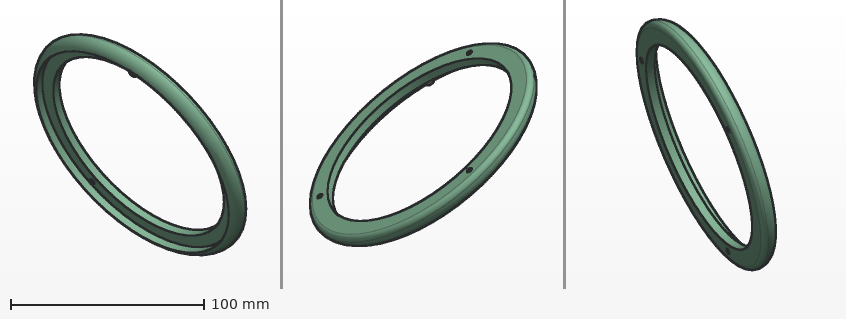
import cadquery as cq
import math

outer_radius = 70.0
bore_radius = 115.0 / 2
recess_radius = 65.0
thickness = 10.0
back_round = 3.0
floor_thickness = 5.0

hole_diameter = 3.0
hole_circle_radius = 62.4
hole_angles = (0, 120, 240)

peg_diameter = 5.0
peg_center_height = 65.1

back_y = thickness / 2
front_y = -back_y
widest_y = back_y - back_round
floor_y = back_y - floor_thickness

lip_inset = outer_radius - recess_radius
front_depth = widest_y - front_y
front_round = (front_depth**2 + lip_inset**2) / (2 * lip_inset)
half_sweep = math.asin(front_depth / front_round) / 2
front_arc_middle = (
    outer_radius - front_round * (1 - math.cos(half_sweep)),
    widest_y - front_round * math.sin(half_sweep),
)
back_arc_middle = (
    outer_radius - back_round * (1 - math.cos(math.pi / 4)),
    widest_y + back_round * math.sin(math.pi / 4),
)


def ring_body():
    """Revolve the section: flat web with a rounded outer rim."""
    return (
        cq.Workplane("XY")
        .moveTo(bore_radius, back_y)
        .lineTo(bore_radius, floor_y)
        .lineTo(recess_radius, floor_y)
        .lineTo(recess_radius, front_y)
        .threePointArc(front_arc_middle, (outer_radius, widest_y))
        .threePointArc(back_arc_middle, (outer_radius - back_round, back_y))
        .close()
        .revolve(360, (0, 0, 0), (0, 1, 0))
    )


def web_holes():
    """Cylinders for the equally spaced holes through the web."""
    centers = [
        (
            hole_circle_radius * math.cos(math.radians(angle)),
            hole_circle_radius * math.sin(math.radians(angle)),
        )
        for angle in hole_angles
    ]
    return (
        cq.Workplane("XZ", origin=(0, back_y, 0))
        .pushPoints(centers)
        .circle(hole_diameter / 2)
        .extrude(thickness)
    )


def locating_peg():
    """Half-round peg against the recess wall, from the floor to the front plane."""
    return (
        cq.Workplane("XZ", origin=(0, floor_y, 0))
        .moveTo(-peg_diameter / 2, peg_center_height)
        .threePointArc(
            (0, peg_center_height - peg_diameter / 2),
            (peg_diameter / 2, peg_center_height),
        )
        .close()
        .extrude(floor_y - front_y)
    )


result = ring_body().cut(web_holes()).union(locating_peg())